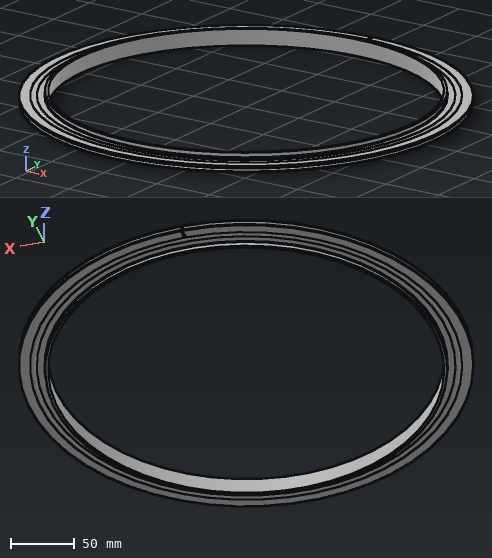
import math

import cadquery as cq

bore_diameter = 311.5
collar_diameter = 316.5
collar_height = 14.0
collar_foot_chamfer = 0.55
bead_centre_radius = 167.5
bead_cord_diameter = 7.5

rim_radius = 178.8
groove_width = 3.5
groove_depth = 1.8
slit_width = 1.0

plate_thickness = 5.5
plate_top = plate_thickness / 2
bead_cord_radius = bead_cord_diameter / 2
bead_half_chord = math.sqrt(bead_cord_radius**2 - plate_top**2)
bead_inner_edge = bead_centre_radius - bead_half_chord
bead_outer_edge = bead_centre_radius + bead_half_chord
bead_equator_radius = bead_centre_radius + bead_cord_radius


def revolve_about_z(profile):
    """Turn a closed radius-height profile on the XZ plane about the Z axis."""
    return profile.close().revolve(360, (0, 0, 0), (0, 1, 0))


def make_centring_ring():
    bore_radius = bore_diameter / 2
    collar_radius = collar_diameter / 2
    collar_top = collar_height / 2
    foot_radius = collar_radius + collar_foot_chamfer
    foot_top = plate_top + collar_foot_chamfer
    profile = (
        cq.Workplane("XZ")
        .moveTo(bore_radius, -collar_top)
        .lineTo(collar_radius, -collar_top)
        .lineTo(collar_radius, -foot_top)
        .lineTo(foot_radius, -plate_top)
        .lineTo(bead_inner_edge, -plate_top)
        .threePointArc((bead_centre_radius, -bead_cord_radius), (bead_equator_radius, 0))
        .threePointArc((bead_centre_radius, bead_cord_radius), (bead_inner_edge, plate_top))
        .lineTo(foot_radius, plate_top)
        .lineTo(collar_radius, foot_top)
        .lineTo(collar_radius, collar_top)
        .lineTo(bore_radius, collar_top)
    )
    return revolve_about_z(profile)


def make_outer_ring():
    groove_top = groove_width / 2
    profile = (
        cq.Workplane("XZ")
        .moveTo(bead_outer_edge, -plate_top)
        .lineTo(rim_radius, -plate_top)
        .lineTo(rim_radius, -groove_top)
        .lineTo(rim_radius - groove_depth, 0)
        .lineTo(rim_radius, groove_top)
        .lineTo(rim_radius, plate_top)
        .lineTo(bead_outer_edge, plate_top)
        .threePointArc((bead_equator_radius, 0), (bead_outer_edge, -plate_top))
    )
    slit = cq.Workplane("XY").box(slit_width, rim_radius, collar_height, centered=(True, False, True))
    slit = slit.translate((0, bead_centre_radius, 0))
    return revolve_about_z(profile).cut(slit)


centring_ring = make_centring_ring()
outer_ring = make_outer_ring()

result = cq.Compound.makeCompound([centring_ring.val(), *outer_ring.solids().vals()])